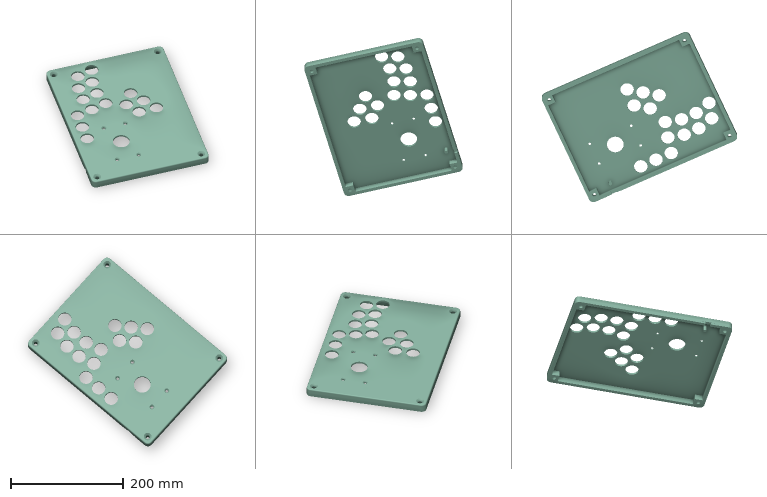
import cadquery as cq
length = 288.4
width = 217.7
height = 14.7
corner_radius = 8.5
top_edge_fillet = 2.0

plate_thickness = 3.7
wall_thickness = 6.0
cavity_depth = height - plate_thickness

corner_inset = 12.0
corner_hole_diameter = 7.0
corner_sink_diameter = 13.8
corner_block_side = 20.2
corner_x = length / 2 - corner_inset
corner_y = width / 2 - corner_inset

button_diameter = 24.0

four_row_start_x = -122.5
four_row_outer_y = -29.0
four_row_pitch = 28.5
four_row_dip = 7.5
four_row_second_shift = (7.5, -28.0)

slanted_row_pitch = (23.6, 16.7)
long_slanted_row_start = (-47.5, 20.5)
short_slanted_row_start = (-23.0, 5.0)

front_row_start = (-22.8, -86.0)
front_row_pitch = (29.7, 0.0)

joystick_x = 61.0
joystick_y = -30.3
joystick_diameter = 30.0
mount_spacing_x = 81.0
mount_spacing_y = 40.0
mount_hole_diameter = 5.0
mount_sink_diameter = 9.0

sink_angle = 90

notch_x = 98.5
notch_height = 4.3
recess_length = 28.5
recess_depth = 0.3
slot_length = 9.8

post_diameter = 6.0
post_x = 97.5
post_y = -89.5


def row_points(start, pitch, count):
    """Evenly spaced points along a straight row."""
    return [(start[0] + i * pitch[0], start[1] + i * pitch[1]) for i in range(count)]


def four_button_rows():
    """Two matching rows of four buttons whose middle pair dips toward the front."""
    dips = [0, four_row_dip, four_row_dip, 0]
    first_row = [
        (four_row_start_x + i * four_row_pitch, four_row_outer_y - dip)
        for i, dip in enumerate(dips)
    ]
    shift_x, shift_y = four_row_second_shift
    second_row = [(x + shift_x, y + shift_y) for x, y in first_row]
    return first_row + second_row


def rectangle_corners(center_x, center_y, spacing_x, spacing_y):
    return [
        (center_x + side_x * spacing_x / 2, center_y + side_y * spacing_y / 2)
        for side_x in (-1, 1)
        for side_y in (-1, 1)
    ]


def case_body():
    """Round-edged tray, hollow underneath, with solid blocks left in the corners."""
    body = cq.Workplane("XY").box(length, width, height, centered=(True, True, False))
    body = body.edges("|Z").fillet(corner_radius)
    body = body.faces(">Z").edges().fillet(top_edge_fillet)

    cavity = cq.Workplane("XY").box(
        length - 2 * wall_thickness,
        width - 2 * wall_thickness,
        cavity_depth,
        centered=(True, True, False),
    )
    corner_blocks = (
        cq.Workplane("XY")
        .rect(length, width, forConstruction=True)
        .vertices()
        .rect(2 * corner_block_side, 2 * corner_block_side)
        .extrude(cavity_depth)
    )
    return body.cut(cavity.cut(corner_blocks))


def cut_top_holes(body, points, diameter):
    top = cq.Workplane("XY").workplane(offset=height)
    return body.cut(top.pushPoints(points).circle(diameter / 2).extrude(-height))


def cut_countersunk_holes(body, points, diameter, sink_diameter):
    top = body.faces(">Z").workplane(origin=(0, 0, height))
    return top.pushPoints(points).cskHole(diameter, sink_diameter, sink_angle)


def cut_front_notch(body, notch_length, depth):
    """Cut a rectangular notch up from the bottom edge and inward from the front face."""
    notch = cq.Workplane("XY").box(
        notch_length, depth, notch_height, centered=(True, False, False)
    )
    return body.cut(notch.translate((notch_x, -width / 2, 0)))


def add_post(body):
    """Add the post, reaching from the plate down to the bottom edge of the case."""
    post = cq.Workplane("XY").center(post_x, post_y).circle(post_diameter / 2)
    return body.union(post.extrude(cavity_depth))


buttons = (
    four_button_rows()
    + row_points(long_slanted_row_start, slanted_row_pitch, 3)
    + row_points(short_slanted_row_start, slanted_row_pitch, 2)
    + row_points(front_row_start, front_row_pitch, 3)
)
corner_screws = rectangle_corners(0, 0, 2 * corner_x, 2 * corner_y)
mount_screws = rectangle_corners(joystick_x, joystick_y, mount_spacing_x, mount_spacing_y)

result = case_body()
result = cut_top_holes(result, buttons, button_diameter)
result = cut_top_holes(result, [(joystick_x, joystick_y)], joystick_diameter)
result = cut_countersunk_holes(result, corner_screws, corner_hole_diameter, corner_sink_diameter)
result = cut_countersunk_holes(result, mount_screws, mount_hole_diameter, mount_sink_diameter)
result = cut_front_notch(result, recess_length, recess_depth)
result = cut_front_notch(result, slot_length, wall_thickness)
result = add_post(result)